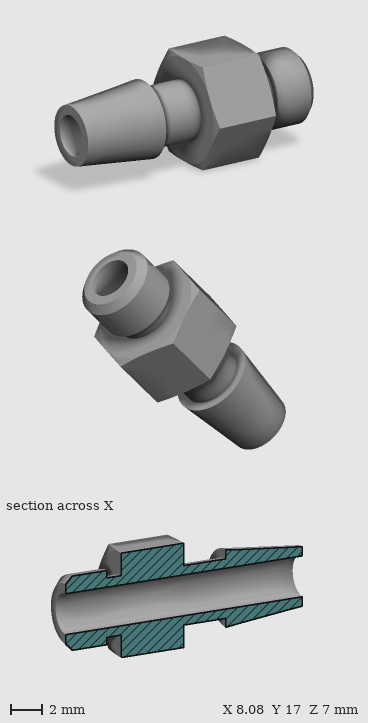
import cadquery as cq
import math

total_length = 17.0
barb_length = 5.5
tube_length = 3.0
hex_length = 4.5
neck_length = 1.0

tube_diameter = 4.01
barb_diameter = 5.2
thread_diameter = 5.0
thread_chamfer = 0.5
bore_diameter = 2.7

hex_across_flats = 7.0
hex_chamfer_angle = 15.0

barb_end = barb_length
hex_start = barb_end + tube_length
hex_end = hex_start + hex_length
thread_start = hex_end + neck_length

tube_radius = tube_diameter / 2
barb_radius = barb_diameter / 2
thread_radius = thread_diameter / 2
flat_radius = hex_across_flats / 2
corner_radius = flat_radius / math.cos(math.radians(30))


def revolve_about_y(points):
    """Revolve a closed (radius, y) outline around the Y axis."""
    return cq.Workplane("XY").polyline(points).close().revolve(360, (0, 0, 0), (0, 1, 0))


def make_turned_body():
    """Barb, tube, neck and chamfered threaded end."""
    return revolve_about_y([
        (0, 0),
        (tube_radius, 0),
        (barb_radius, barb_end),
        (tube_radius, barb_end),
        (tube_radius, thread_start),
        (thread_radius, thread_start),
        (thread_radius, total_length - thread_chamfer),
        (thread_radius - thread_chamfer, total_length),
        (0, total_length),
    ])


def make_hex():
    """Hexagon with corners on the X axis, its corners turned off conically at both ends."""
    prism = (
        cq.Workplane("XZ", origin=(0, hex_start, 0))
        .polygon(6, 2 * corner_radius)
        .extrude(-hex_length)
    )
    corner_drop = (corner_radius - flat_radius) * math.tan(math.radians(hex_chamfer_angle))
    envelope = revolve_about_y([
        (0, hex_start),
        (flat_radius, hex_start),
        (corner_radius, hex_start + corner_drop),
        (corner_radius, hex_end - corner_drop),
        (flat_radius, hex_end),
        (0, hex_end),
    ])
    return prism.intersect(envelope)


def make_bore():
    """Straight passage through the whole length."""
    return cq.Workplane("XZ").circle(bore_diameter / 2).extrude(-total_length)


result = make_turned_body().union(make_hex()).cut(make_bore())